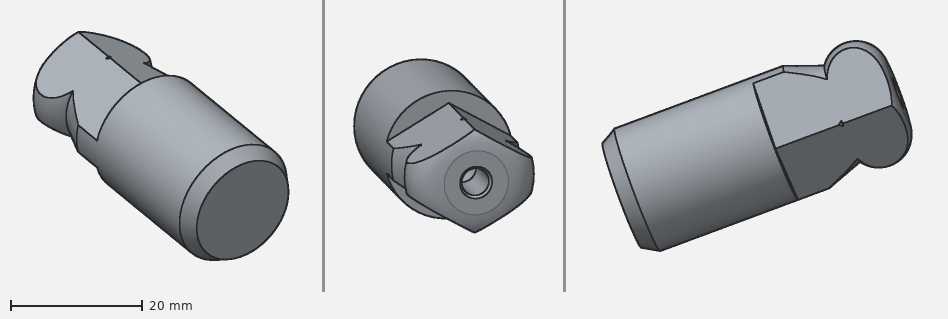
import cadquery as cq
import math

length = 45.0
diameter = 20.0
radius = diameter / 2

chamfer_length = 2.5
chamfer_angle = 30.0
end_radius = radius - chamfer_length * math.tan(math.radians(chamfer_angle))

head_round = radius / 2
face_radius = radius - head_round

neck_start = 15.0
neck_angle = 20.0

hexagon_slope = math.radians(30)
flats_length = 20.0
across_flats = 14.0
apex_height = across_flats / 2 / math.cos(hexagon_slope)

hole_diameter = 4.25
hole_mouth_diameter = 5.0
countersink_depth = 0.55
hole_depth = 10.0
drill_point_angle = 118.0


def neck_bottom():
    """Point (x, r) where the neck cone meets the circle of the head."""
    slope = math.tan(math.radians(neck_angle))
    offset = (radius - face_radius) - slope * (neck_start - head_round)
    a = 1 + slope**2
    b = 2 * slope * offset
    c = offset**2 - head_round**2
    x = (-b + math.sqrt(b**2 - 4 * a * c)) / (2 * a)
    return head_round + x, face_radius + offset + slope * x


def turned_body():
    return (
        cq.Workplane("XY")
        .moveTo(0, 0)
        .lineTo(0, face_radius)
        .threePointArc((head_round, radius), neck_bottom())
        .lineTo(neck_start, radius)
        .lineTo(length - chamfer_length, radius)
        .lineTo(length, end_radius)
        .lineTo(length, 0)
        .close()
        .revolve(360, (0, 0, 0), (1, 0, 0))
    )


def flats_envelope():
    """Diamond prism that bounds the four flats, joined to an oversize cylinder around the shank."""
    half_width = apex_height / math.tan(hexagon_slope)
    prism = (
        cq.Workplane("YZ")
        .polyline([(half_width, 0), (0, apex_height), (-half_width, 0), (0, -apex_height)])
        .close()
        .extrude(flats_length)
    )
    shank_clearance = (
        cq.Workplane("YZ")
        .workplane(offset=flats_length)
        .circle(diameter)
        .extrude(length - flats_length)
    )
    return prism.union(shank_clearance)


def centre_hole():
    hole_radius = hole_diameter / 2
    mouth_radius = hole_mouth_diameter / 2
    point_length = hole_radius / math.tan(math.radians(drill_point_angle / 2))
    return (
        cq.Workplane("XY")
        .polyline([
            (0, 0),
            (0, mouth_radius),
            (countersink_depth, hole_radius),
            (hole_depth, hole_radius),
            (hole_depth + point_length, 0),
        ])
        .close()
        .revolve(360, (0, 0, 0), (1, 0, 0))
    )


result = turned_body().intersect(flats_envelope()).cut(centre_hole())